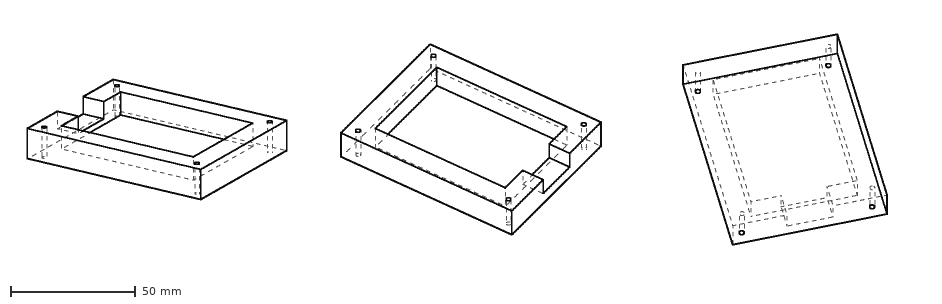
import cadquery as cq

length = 83.0
width = 64.0
height = 13.0

rim = 10.0
pocket_depth = 10.0

notch_width = 19.0
notch_depth = 7.5

hole_diameter = 2.0
hole_inset = rim / 2


def cut_pocket(body):
    return (
        body.faces(">Z")
        .workplane(origin=(0, 0, 0))
        .rect(length - 2 * rim, width - 2 * rim)
        .cutBlind(-pocket_depth)
    )


def cut_notch(body):
    notch = (
        cq.Workplane("XY")
        .box(rim, notch_width, notch_depth, centered=(False, True, False))
        .translate((-length / 2, 0, height - notch_depth))
    )
    return body.cut(notch)


def cut_corner_holes(body):
    drill = (
        cq.Workplane("XY")
        .rect(length - 2 * hole_inset, width - 2 * hole_inset, forConstruction=True)
        .vertices()
        .circle(hole_diameter / 2)
        .extrude(height)
    )
    return body.cut(drill)


block = cq.Workplane("XY").box(length, width, height, centered=(True, True, False))
result = cut_corner_holes(cut_notch(cut_pocket(block)))